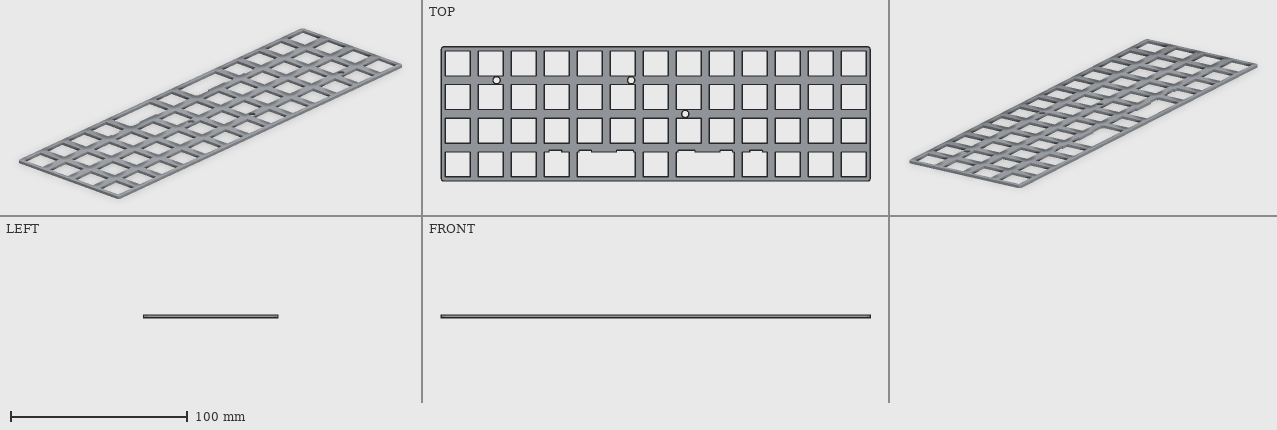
import cadquery as cq

PLATE_LENGTH = 242.89
PLATE_WIDTH = 76.2
PLATE_THICKNESS = 1.6
CORNER_RADIUS = 1.6

COLUMNS = 13
ROWS = 4
COLUMN_PITCH = PLATE_LENGTH / COLUMNS
ROW_PITCH = PLATE_WIDTH / ROWS
SWITCH_OPENING = 14.0

MIRROR_SIDES = (-1, 1)
BOTTOM_ROW_Y = -(ROWS - 1) / 2 * ROW_PITCH
DOUBLE_KEY_OFFSET = 1.5 * COLUMN_PITCH
TRIPLE_KEY_OFFSET = 37.75

STABILIZER_WIDTH = 7.0
STABILIZER_TOP = 7.97
STABILIZER_BOTTOM = -SWITCH_OPENING / 2
DOUBLE_KEY_STABILIZER_SPACING = 23.8
TRIPLE_KEY_STABILIZER_SPACING = 38.1

MOUNTING_HOLE_DIAMETER = 4.0
MOUNTING_HOLES = [
    (-90.1, ROW_PITCH),
    (-13.9, ROW_PITCH),
    (16.7, 0),
]


def make_plate():
    plate = cq.Workplane("XY").box(PLATE_LENGTH, PLATE_WIDTH, PLATE_THICKNESS)
    return plate.edges("|Z").fillet(CORNER_RADIUS)


def cut_window(plate, center_x, center_y, length, width):
    """Cut a rectangular window through the plate."""
    cutter = cq.Workplane("XY").box(length, width, 2 * PLATE_THICKNESS)
    return plate.cut(cutter.translate((center_x, center_y, 0)))


def cut_switch_openings(plate):
    return (
        plate.faces(">Z").workplane(centerOption="ProjectedOrigin", origin=(0, 0, 0))
        .rarray(COLUMN_PITCH, ROW_PITCH, COLUMNS, ROWS)
        .rect(SWITCH_OPENING, SWITCH_OPENING)
        .cutThruAll()
    )


def cut_stabilizer_pair(plate, key_x, spacing):
    """Cut the two stabilizer slots of a wide key centered at key_x."""
    height = STABILIZER_TOP - STABILIZER_BOTTOM
    slot_y = BOTTOM_ROW_Y + (STABILIZER_TOP + STABILIZER_BOTTOM) / 2
    for direction in MIRROR_SIDES:
        slot_x = key_x + direction * spacing / 2
        plate = cut_window(plate, slot_x, slot_y, STABILIZER_WIDTH, height)
    return plate


def cut_wide_keys(plate):
    """On each half, join two neighboring openings and add the stabilizer slots."""
    joined_length = COLUMN_PITCH + SWITCH_OPENING
    for side in MIRROR_SIDES:
        double_key_x = side * DOUBLE_KEY_OFFSET
        plate = cut_window(plate, double_key_x, BOTTOM_ROW_Y, joined_length, SWITCH_OPENING)
        plate = cut_stabilizer_pair(plate, double_key_x, DOUBLE_KEY_STABILIZER_SPACING)
        plate = cut_stabilizer_pair(plate, side * TRIPLE_KEY_OFFSET, TRIPLE_KEY_STABILIZER_SPACING)
    return plate


def cut_mounting_holes(plate):
    return (
        plate.faces(">Z").workplane(centerOption="ProjectedOrigin", origin=(0, 0, 0))
        .pushPoints(MOUNTING_HOLES)
        .hole(MOUNTING_HOLE_DIAMETER)
    )


result = make_plate()
result = cut_switch_openings(result)
result = cut_wide_keys(result)
result = cut_mounting_holes(result)